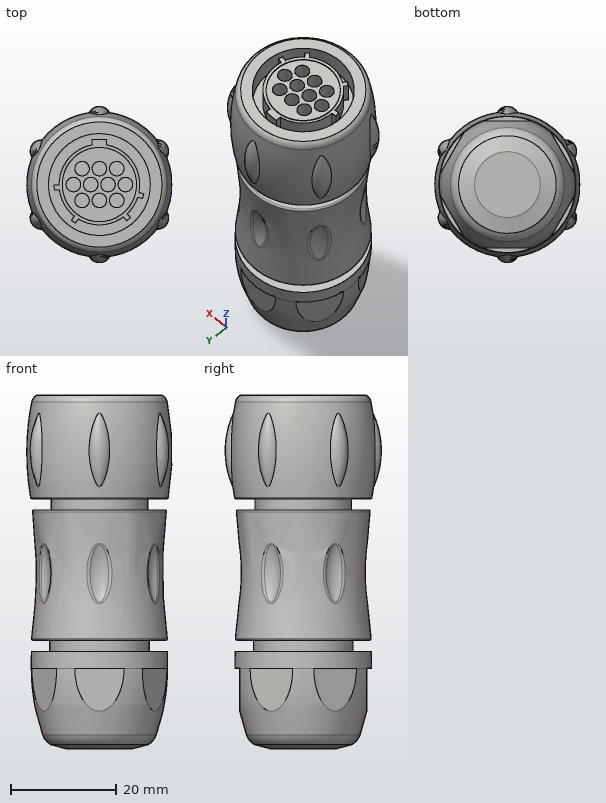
import cadquery as cq
import math

total_height = 67.15
end_cone_z = 0.8
end_corner_z = 2.7
taper_top_z = 15.3
nut_top_z = 18.5
grip_bottom_z = 20.6
grip_top_z = 45.4
ring_bottom_z = 47.5
ring_shoulder_z = 65.8

end_face_radius = 6.25
end_cone_radius = 9.3
nut_radius = 12.95
nut_taper_arc = 38.3
lower_neck_radius = 9.5
upper_neck_radius = 9.2
grip_bottom_radius = 12.95
grip_waist_radius = 12.0
grip_top_radius = 12.75
ring_bottom_radius = 13.0
ring_bulge_diameter = 27.6
ring_shoulder_radius = 12.9
rim_radius = 11.9
rim_bulge = 0.2
edge_round = 0.35

feature_count = 6
first_feature_angle = 90.0
flat_distance = 12.1

rib_reach = 14.85
rib_section_radius = 2.2
rib_length_arc = 16.8
rib_z = 56.6

dimple_floor = 11.15
dimple_section_radius = 3.3
dimple_length_arc = 15.45
dimple_z = 33.4
dimple_edge_round = 0.9

socket_radius = 9.7
socket_depth = 4.7
insert_radius = 7.65
core_radius = 7.05
core_recess = 0.15
key_reach = 8.6
wide_key_angle = 90.0
wide_key_width = 2.75
narrow_key_angles = (184.0, 235.0, 310.0, 345.0)
narrow_key_width = 0.95
contact_diameter = 2.75
contact_pitch = 3.3
contact_row_pitch = 3.0
contact_rows = (3, 4, 3)


def turned(half_section):
    """Revolve a closed half-section about Z."""
    return half_section.close().revolve(360, (0, 0), (0, 1))


def cylinder(radius, bottom_z, top_z):
    return cq.Workplane("XY").workplane(offset=bottom_z).circle(radius).extrude(top_z - bottom_z)


def spindle(axis_distance, section_radius, length_arc, center_z):
    """Pointed spindle parallel to Z: an arc turned about its chord, set out along +X."""
    half_length = math.sqrt(length_arc**2 - (length_arc - section_radius) ** 2)
    half_section = (
        cq.Workplane("XZ")
        .moveTo(0, -half_length)
        .threePointArc((section_radius, 0), (0, half_length))
    )
    return turned(half_section).translate((axis_distance, 0, center_z))


def around(shape):
    """Copies of a shape set out along +X, spaced evenly around Z."""
    step = 360 / feature_count
    return [
        shape.rotate((0, 0, 0), (0, 0, 1), first_feature_angle + i * step)
        for i in range(feature_count)
    ]


def make_clamp_nut():
    """Nut at the cable end: straight collar, arched taper, and flats cut into the taper."""
    arc_center = nut_radius - nut_taper_arc
    sweep = math.asin((taper_top_z - end_corner_z) / nut_taper_arc)

    def taper_point(angle):
        return (
            arc_center + nut_taper_arc * math.cos(angle),
            taper_top_z - nut_taper_arc * math.sin(angle),
        )

    nut = turned(
        cq.Workplane("XZ")
        .moveTo(0, nut_top_z)
        .lineTo(nut_radius, nut_top_z)
        .lineTo(nut_radius, taper_top_z)
        .threePointArc(taper_point(sweep / 2), taper_point(sweep))
        .tangentArcPoint((end_cone_radius, end_cone_z), relative=False)
        .lineTo(end_face_radius, 0)
        .lineTo(0, 0)
    )
    flat_cutter = (
        cq.Workplane("XY")
        .box(nut_radius, 2 * nut_radius, taper_top_z, centered=(False, True, False))
        .translate((flat_distance, 0, 0))
    )
    for cutter in around(flat_cutter):
        nut = nut.cut(cutter)
    return nut


def make_grip():
    """Waisted grip with rounded end edges and soft-edged dimples."""
    grip = turned(
        cq.Workplane("XZ")
        .moveTo(0, grip_bottom_z)
        .lineTo(grip_bottom_radius, grip_bottom_z)
        .threePointArc((grip_waist_radius, dimple_z), (grip_top_radius, grip_top_z))
        .lineTo(0, grip_top_z)
    )
    grip = grip.faces("|Z").edges().fillet(edge_round)
    dimple = spindle(
        dimple_floor + dimple_section_radius, dimple_section_radius, dimple_length_arc, dimple_z
    )
    for cutter in around(dimple):
        grip = grip.cut(cutter)
    band_reach = grip_bottom_radius
    band_half_height = dimple_section_radius
    mouth_band = cq.selectors.BoxSelector(
        (-band_reach, -band_reach, dimple_z - band_half_height),
        (band_reach, band_reach, dimple_z + band_half_height),
    )
    mouths = mouth_band - cq.selectors.TypeSelector("CIRCLE")
    return grip.edges(mouths).fillet(dimple_edge_round)


def make_coupling_ring():
    """Bulged ring at the mating end with a rounded rim and six raised ribs."""
    side_middle = (ring_bulge_diameter / 2, (ring_bottom_z + ring_shoulder_z) / 2)
    rim_width = ring_shoulder_radius - rim_radius
    rim_height = total_height - ring_shoulder_z
    rim_slope = math.hypot(rim_width, rim_height)
    rim_middle = (
        (ring_shoulder_radius + rim_radius) / 2 + rim_bulge * rim_height / rim_slope,
        (ring_shoulder_z + total_height) / 2 + rim_bulge * rim_width / rim_slope,
    )
    ring = turned(
        cq.Workplane("XZ")
        .moveTo(0, ring_bottom_z)
        .lineTo(ring_bottom_radius, ring_bottom_z)
        .threePointArc(side_middle, (ring_shoulder_radius, ring_shoulder_z))
        .threePointArc(rim_middle, (rim_radius, total_height))
        .lineTo(0, total_height)
    )
    ring = ring.faces("<Z").edges().fillet(edge_round)
    rib = spindle(rib_reach - rib_section_radius, rib_section_radius, rib_length_arc, rib_z)
    for piece in around(rib):
        ring = ring.union(piece)
    return ring


def make_insert():
    """Contact insert standing in the socket, with keys outside and contact holes in its core."""
    floor_z = total_height - socket_depth
    insert = cylinder(insert_radius, floor_z, total_height)

    keys = [(wide_key_angle, wide_key_width)]
    keys += [(angle, narrow_key_width) for angle in narrow_key_angles]
    for angle, width in keys:
        key = (
            cq.Workplane("XY")
            .box(key_reach, width, socket_depth, centered=(False, True, False))
            .translate((0, 0, floor_z))
            .rotate((0, 0, 0), (0, 0, 1), angle)
        )
        insert = insert.union(key)

    insert = insert.cut(cylinder(core_radius, total_height - core_recess, total_height))
    for row, count in enumerate(contact_rows):
        y = (row - (len(contact_rows) - 1) / 2) * contact_row_pitch
        for i in range(count):
            x = (i - (count - 1) / 2) * contact_pitch
            hole = cylinder(contact_diameter / 2, floor_z, total_height).translate((x, y, 0))
            insert = insert.cut(hole)
    return insert


lower_neck = cylinder(lower_neck_radius, nut_top_z, grip_bottom_z)
upper_neck = cylinder(upper_neck_radius, grip_top_z, ring_bottom_z)
shell = make_clamp_nut().union(lower_neck).union(make_grip()).union(upper_neck)
shell = shell.union(make_coupling_ring())

socket = cylinder(socket_radius, total_height - socket_depth, total_height)
result = shell.cut(socket).union(make_insert())